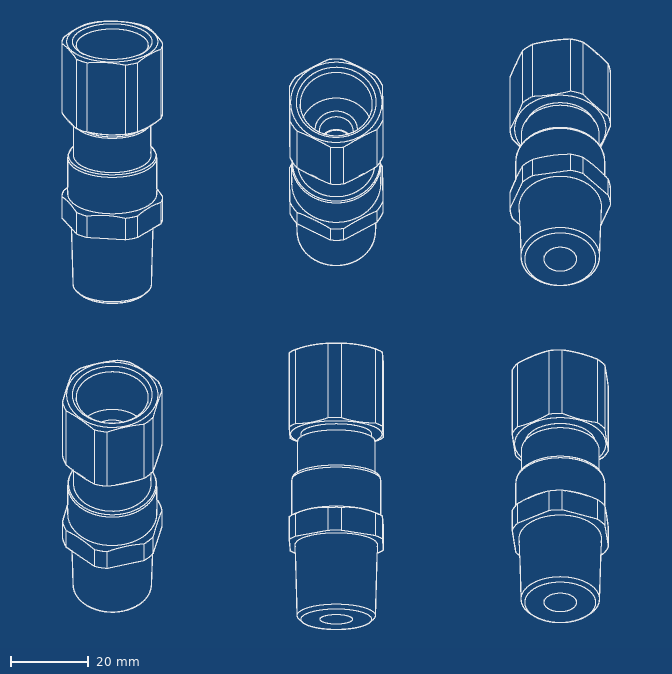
import cadquery as cq
import math

TOTAL_HEIGHT = 70.75
HEX_ACROSS_FLATS = 24.0
HEX_CORNER_RADIUS = 26.0 / 2

THREAD_TIP_RADIUS = 10.1
THREAD_TOP_RADIUS = 10.6
THREAD_CHAMFER = 1.0
HEX_BOTTOM = 20.0
HEX_TOP = 26.95
HEX_BEVEL_HEIGHT = 0.8
COLLAR_RADIUS = 11.45
COLLAR_TOP = 38.05
COLLAR_BEVEL_WIDTH = 0.2
COLLAR_BEVEL_HEIGHT = 0.65
SHANK_RADIUS = 10.0
SHANK_TOP = 47.9
FITTING_BORE_RADIUS = 4.2

NECK_RADIUS = 9.1
SOCKET_HEX_BOTTOM = 49.8
SOCKET_FACE_RADIUS = 11.75
SOCKET_BEVEL_HEIGHT = 0.5
SOCKET_BORE_RADIUS = 9.3
SOCKET_BORE_DEPTH = 14.85
SOCKET_MOUTH_RADIUS = 10.25
PASSAGE_RADIUS = 4.4
PASSAGE_MOUTH_RADIUS = 5.45


def revolve_profile(points):
    """Turn a closed (radius, height) outline about the Z axis."""
    return cq.Workplane("XZ").polyline(points).close().revolve(360, (0, 0, 0), (0, 1, 0))


def hexagon(bottom, top):
    """Hexagonal prism with flats facing +X and -X."""
    across_corners = HEX_ACROSS_FLATS / math.cos(math.pi / 6)
    return (
        cq.Workplane("XY")
        .workplane(offset=bottom)
        .polygon(6, across_corners)
        .extrude(top - bottom)
        .rotate((0, 0, 0), (0, 0, 1), 30)
    )


def make_fitting():
    """Lower body with a taper thread, hexagon, collar and plain shank."""
    thread = revolve_profile([
        (0, 0),
        (THREAD_TIP_RADIUS - THREAD_CHAMFER, 0),
        (THREAD_TIP_RADIUS, THREAD_CHAMFER),
        (THREAD_TOP_RADIUS, HEX_BOTTOM),
        (0, HEX_BOTTOM),
    ])
    hex_round = revolve_profile([
        (0, HEX_BOTTOM),
        (HEX_CORNER_RADIUS, HEX_BOTTOM),
        (HEX_CORNER_RADIUS, HEX_TOP - HEX_BEVEL_HEIGHT),
        (COLLAR_RADIUS, HEX_TOP),
        (0, HEX_TOP),
    ])
    collar_and_shank = revolve_profile([
        (0, HEX_TOP),
        (COLLAR_RADIUS, HEX_TOP),
        (COLLAR_RADIUS, COLLAR_TOP - COLLAR_BEVEL_HEIGHT),
        (COLLAR_RADIUS - COLLAR_BEVEL_WIDTH, COLLAR_TOP),
        (SHANK_RADIUS, COLLAR_TOP),
        (SHANK_RADIUS, SHANK_TOP),
        (0, SHANK_TOP),
    ])
    bore = cq.Workplane("XY").circle(FITTING_BORE_RADIUS).extrude(SHANK_TOP)
    wrench_hex = hexagon(HEX_BOTTOM, HEX_TOP).intersect(hex_round)
    return thread.union(wrench_hex).union(collar_and_shank).cut(bore)


def make_socket():
    """Upper body with a neck, a hexagon bevelled at both ends and a stepped bore."""
    hex_round = revolve_profile([
        (0, SOCKET_HEX_BOTTOM),
        (SOCKET_FACE_RADIUS, SOCKET_HEX_BOTTOM),
        (HEX_CORNER_RADIUS, SOCKET_HEX_BOTTOM + SOCKET_BEVEL_HEIGHT),
        (HEX_CORNER_RADIUS, TOTAL_HEIGHT - SOCKET_BEVEL_HEIGHT),
        (SOCKET_FACE_RADIUS, TOTAL_HEIGHT),
        (0, TOTAL_HEIGHT),
    ])
    neck = (
        cq.Workplane("XY")
        .workplane(offset=SHANK_TOP)
        .circle(NECK_RADIUS)
        .extrude(SOCKET_HEX_BOTTOM - SHANK_TOP)
    )
    floor = TOTAL_HEIGHT - SOCKET_BORE_DEPTH
    passage_countersink = PASSAGE_MOUTH_RADIUS - PASSAGE_RADIUS
    mouth_countersink = SOCKET_MOUTH_RADIUS - SOCKET_BORE_RADIUS
    bore = revolve_profile([
        (0, SHANK_TOP),
        (PASSAGE_RADIUS, SHANK_TOP),
        (PASSAGE_RADIUS, floor - passage_countersink),
        (PASSAGE_MOUTH_RADIUS, floor),
        (SOCKET_BORE_RADIUS, floor),
        (SOCKET_BORE_RADIUS, TOTAL_HEIGHT - mouth_countersink),
        (SOCKET_MOUTH_RADIUS, TOTAL_HEIGHT),
        (0, TOTAL_HEIGHT),
    ])
    socket_hex = hexagon(SOCKET_HEX_BOTTOM, TOTAL_HEIGHT).intersect(hex_round)
    return neck.union(socket_hex).cut(bore)


fitting = make_fitting()
socket = make_socket()

result = cq.Compound.makeCompound([fitting.solids().val(), socket.solids().val()])